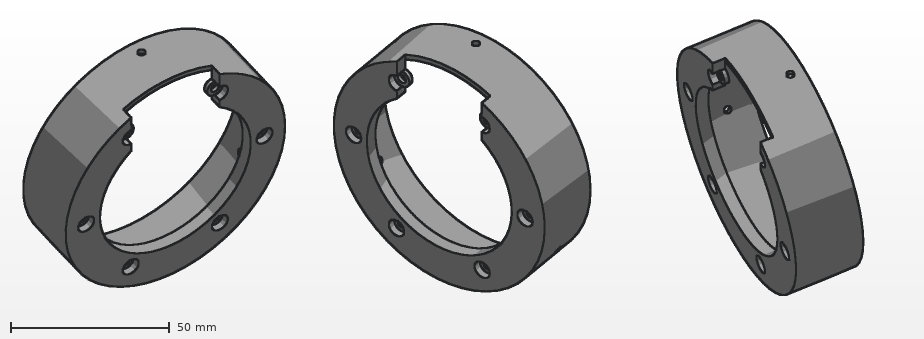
import cadquery as cq
import math

outer_diameter = 83.8
wall_inner_diameter = 80.0
bore_diameter = 57.5
ring_length = 23.7
flange_thickness = 4.4
flange_start = ring_length - flange_thickness

gap_width = 33.7

bolt_circle_radius = 34.0
bolt_hole_diameter = 3.0
bolt_hole_count = 6
counterbore_diameter = 6.0
lug_diameter = counterbore_diameter
lug_thickness = 1.7
lug_angles = (60, 120)

radial_hole_diameter = 2.5
top_hole_x = 4.8
side_hole_x = 9.5
radial_holes = ((90, top_hole_x), (210, side_hole_x), (330, side_hole_x))


def disc(diameter, start, length):
    """Cylinder on the X axis."""
    return cq.Workplane("YZ").workplane(offset=start).circle(diameter / 2).extrude(length)


def on_bolt_circle(angle):
    """Y and Z of a point on the bolt circle."""
    turn = math.radians(angle)
    return bolt_circle_radius * math.cos(turn), bolt_circle_radius * math.sin(turn)


def axial_cylinders(angles, diameter, start, end):
    """Cylinders on the bolt circle between two places along X."""
    return (
        cq.Workplane("YZ")
        .workplane(offset=start)
        .pushPoints([on_bolt_circle(angle) for angle in angles])
        .circle(diameter / 2)
        .extrude(end - start)
    )


def radial_cylinder(angle, x):
    """Drill running from the X axis out through the wall."""
    drill = cq.Workplane("XZ", origin=(x, 0, 0)).circle(radial_hole_diameter / 2)
    return drill.extrude(-outer_diameter).rotate((0, 0, 0), (1, 0, 0), angle)


result = disc(outer_diameter, 0, ring_length)
result = result.cut(disc(wall_inner_diameter, 0, flange_start))
result = result.cut(disc(bore_diameter, flange_start, flange_thickness))

gap = cq.Workplane("XY").box(
    flange_thickness, gap_width, outer_diameter, centered=(False, True, False)
)
result = result.cut(gap.translate((flange_start, 0, 0)))

lug_end = flange_start + lug_thickness
result = result.union(axial_cylinders(lug_angles, lug_diameter, flange_start, lug_end))
bolt_angles = [i * 360 / bolt_hole_count for i in range(bolt_hole_count)]
result = result.cut(axial_cylinders(bolt_angles, bolt_hole_diameter, flange_start, ring_length))
result = result.cut(axial_cylinders(bolt_angles, counterbore_diameter, lug_end, ring_length))

for hole_angle, hole_x in radial_holes:
    result = result.cut(radial_cylinder(hole_angle, hole_x))